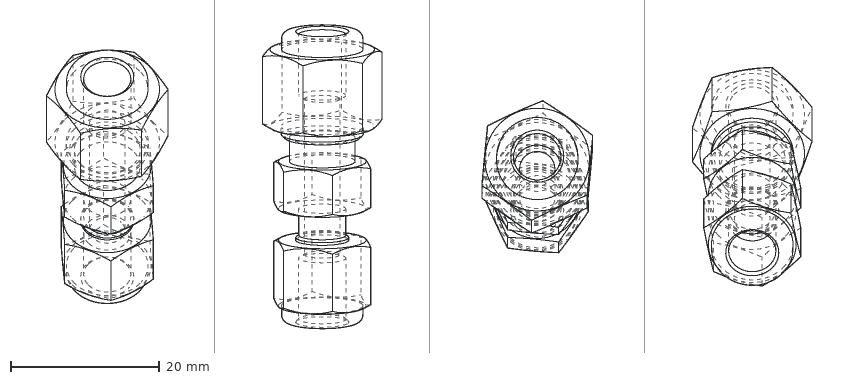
import cadquery as cq
import math

TOTAL_HEIGHT = 40.05
LOWER_NUT_BOTTOM = 2.25
LOWER_NUT_TOP = 11.3
COLLAR_SHOULDER = 11.65
COLLAR_TOP = 11.95
BODY_HEX_BOTTOM = 15.6
BODY_HEX_TOP = 22.15
FLANGE_BOTTOM = 25.4
UPPER_NUT_BOTTOM = 26.95
UPPER_NUT_TOP = 37.55

UPPER_NUT_FLATS = 14.3
SMALL_HEX_FLATS = 12.0
FACE_CIRCLE_INSET = 0.15
HEX_CHAMFER_ANGLE = 30.0

CAP_DIAMETER = 11.0
CAP_ROUND = 1.0
FLANGE_DIAMETER = 11.13
FLANGE_CHAMFER = 0.5
UPPER_NECK_DIAMETER = 8.9
LOWER_NECK_DIAMETER = 6.35
COLLAR_DIAMETER = 7.15

BORE_DIAMETER = 4.75
SOCKET_DIAMETER = 6.35
SOCKET_DEPTH = 8.8
MOUTH_DIAMETER = 7.15
DRILL_POINT_ANGLE = 118.0


def revolve_profile(points):
    """Revolve a closed (radius, height) outline about the Z axis."""
    return cq.Workplane("XZ").polyline(points).close().revolve(360, (0, 0), (0, 1))


def cylinder(diameter, bottom, top):
    return cq.Workplane("XY").workplane(offset=bottom).circle(diameter / 2).extrude(top - bottom)


def chamfered_hex(flats, bottom, top, turn):
    """Hexagonal prism with conically turned corners at both ends."""
    corners = flats / math.cos(math.radians(30))
    prism = cq.Workplane("XY").workplane(offset=bottom).polygon(6, corners).extrude(top - bottom)
    prism = prism.rotate((0, 0, 0), (0, 0, 1), turn)
    face_radius = (flats - FACE_CIRCLE_INSET) / 2
    outer_radius = corners / 2
    drop = (outer_radius - face_radius) * math.tan(math.radians(HEX_CHAMFER_ANGLE))
    envelope = revolve_profile([
        (0, bottom),
        (face_radius, bottom),
        (outer_radius, bottom + drop),
        (outer_radius, top - drop),
        (face_radius, top),
        (0, top),
    ])
    return prism.intersect(envelope)


def collar():
    """Small collar above the lower nut, tapering into the lower neck."""
    return revolve_profile([
        (0, LOWER_NUT_TOP),
        (COLLAR_DIAMETER / 2, LOWER_NUT_TOP),
        (COLLAR_DIAMETER / 2, COLLAR_SHOULDER),
        (LOWER_NECK_DIAMETER / 2, COLLAR_TOP),
        (0, COLLAR_TOP),
    ])


def flange():
    """Flange below the upper nut with a chamfered lower edge."""
    radius = FLANGE_DIAMETER / 2
    return revolve_profile([
        (0, FLANGE_BOTTOM),
        (radius - FLANGE_CHAMFER, FLANGE_BOTTOM),
        (radius, FLANGE_BOTTOM + FLANGE_CHAMFER),
        (radius, UPPER_NUT_BOTTOM),
        (0, UPPER_NUT_BOTTOM),
    ])


def tube_socket():
    """Socket cutter for the top end: flared mouth, straight wall, conical seat."""
    mouth_radius = MOUTH_DIAMETER / 2
    socket_radius = SOCKET_DIAMETER / 2
    bore_radius = BORE_DIAMETER / 2
    mouth_depth = mouth_radius - socket_radius
    seat_depth = (socket_radius - bore_radius) / math.tan(math.radians(DRILL_POINT_ANGLE / 2))
    wall_bottom = TOTAL_HEIGHT - SOCKET_DEPTH
    return revolve_profile([
        (0, TOTAL_HEIGHT),
        (mouth_radius, TOTAL_HEIGHT),
        (socket_radius, TOTAL_HEIGHT - mouth_depth),
        (socket_radius, wall_bottom),
        (bore_radius, wall_bottom - seat_depth),
        (0, wall_bottom - seat_depth),
    ])


upper_cap = cylinder(CAP_DIAMETER, UPPER_NUT_TOP, TOTAL_HEIGHT).faces(">Z").edges().fillet(CAP_ROUND)
lower_cap = cylinder(CAP_DIAMETER, 0, LOWER_NUT_BOTTOM).faces("<Z").edges().fillet(CAP_ROUND)

fitting = (
    lower_cap
    .union(chamfered_hex(SMALL_HEX_FLATS, LOWER_NUT_BOTTOM, LOWER_NUT_TOP, 0))
    .union(collar())
    .union(cylinder(LOWER_NECK_DIAMETER, COLLAR_TOP, BODY_HEX_BOTTOM))
    .union(chamfered_hex(SMALL_HEX_FLATS, BODY_HEX_BOTTOM, BODY_HEX_TOP, 0))
    .union(cylinder(UPPER_NECK_DIAMETER, BODY_HEX_TOP, FLANGE_BOTTOM))
    .union(flange())
    .union(chamfered_hex(UPPER_NUT_FLATS, UPPER_NUT_BOTTOM, UPPER_NUT_TOP, 30))
    .union(upper_cap)
)

upper_socket = tube_socket()
lower_socket = upper_socket.mirror("XY", (0, 0, TOTAL_HEIGHT / 2))
result = fitting.cut(cylinder(BORE_DIAMETER, 0, TOTAL_HEIGHT)).cut(upper_socket).cut(lower_socket)